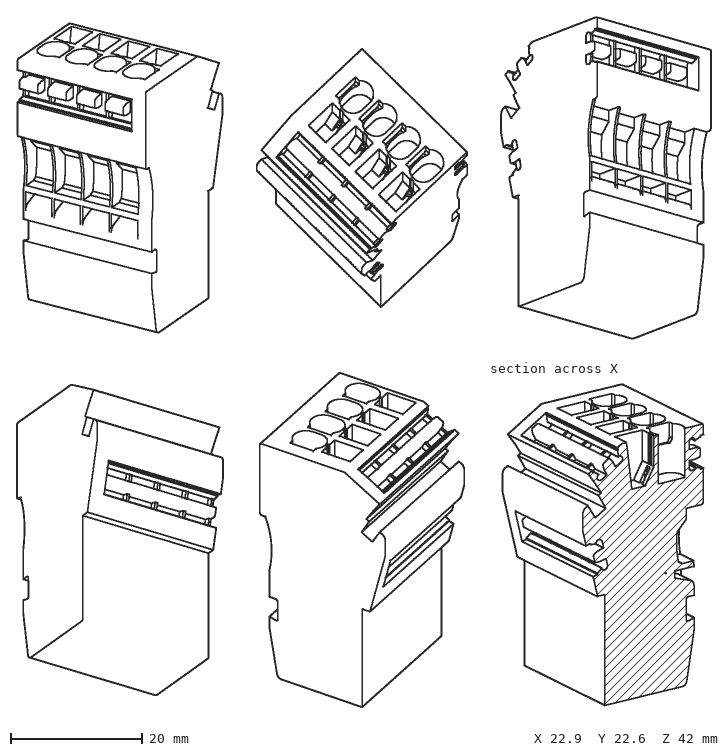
import cadquery as cq
import math

WIDTH = 22.9
HEIGHT = 42.0
DEPTH = 22.55
POLES = 4
PITCH = 5.1
ROW_WIDTH = POLES * PITCH
RIB = 0.42
END_RECESS = 0.05

FRONT_Y = 1.74
BLOCK_BOTTOM_Z = 28.85
BLOCK_INNER_Y = 1.0
HOLLOW_Y = 2.13
HOLLOW_Z = 23.05
HOLLOW_BOTTOM_Z = 19.35
NOTCH_TOP_Z = 14.4
NOTCH_BOTTOM_Z = 10.45
NOTCH_Y = 3.22
LIP_Z = 10.8
TAPER_TOP_Z = 8.74
FOOT_Y = 3.22
BACK_Y = 18.46
STEP_Y = 19.8
STEP_Z = 18.05
BACK_BEND_Z = 29.2
TOP_BACK_Y = 15.27
SLOPE_ANGLE = 30.0
SLOPE_END_Y = 21.56
SLOPE_END_Z = HEIGHT - (SLOPE_END_Y - TOP_BACK_Y) * math.tan(math.radians(SLOPE_ANGLE))
HOOK = [
    (20.2, 36.45), (19.15, 34.8), (19.65, 34.5), (18.3, 32.1),
    (20.2, 31.0), (SLOPE_END_Y, 33.25), (21.84, 33.09),
]
HOOK_TIP_MIDDLE = (22.36, 32.7)
HOOK_TIP_END_Z = 32.1
EDGE_RADIUS = 0.3
SLOPE_EDGE_RADIUS = 0.6
BLOCK_RADIUS = 0.5
NOTCH_RADIUS = 0.45
NOTCH_FLOOR_RADIUS = 0.2
FOOT_RADIUS = 0.95
BACK_FOOT_RADIUS = 0.15

MOUTH_HALF = 2.7
CUT_MARGIN = 1.0
RIM_DEPTH = 0.58
RIM_HALF = 2.5
SHOULDER_DEPTH = 1.6
SHOULDER_HALF = 2.1
FRONT_LOWER_SHOULDER = 2.3
UNDERCUT_DEPTH = 2.65
UNDERCUT_HALF = 2.6
TONGUE_BASE_HALF = 0.97
TONGUE_TIP_HALF = 0.72
TONGUE_TIP_RADIUS = 0.35
TONGUE_LENGTH = 3.25
GROOVE_RIB_START = 4.68
FRONT_GROOVE_Z = 37.45
SLOPE_GROOVE_CENTRE = 3.57
SLOPE_GROOVE_LIFT = -0.15
BACK_GROOVE_CENTRE = 5.25
BACK_GROOVE_SINK = 0.27

POCKET_FLOOR_Z = 20.1
POCKET_FLOOR_END_Y = 4.0
POCKET_WALL_BOTTOM = (4.67, 20.5)
POCKET_WALL_DEEPEST = (5.0, 23.75)
POCKET_OVERHANG_BOTTOM = (4.9, 25.35)
POCKET_OVERHANG_TOP_Z = 27.1
POCKET_UPPER_Y = 3.2
LOWER_POCKET_BOTTOM_Z = 16.0
LOWER_POCKET_TOP_Z = 19.1
SILL_TOP = (2.53, 17.05)
LOWER_POCKET_BACK_Y = 5.3
LOWER_POCKET_BACK_Z = 18.0

PORT_X = 2.75
PORT_Y = 6.0
PORT_LENGTH = 5.6
PORT_WIDTH = 4.16
PORT_DEPTH = 8.0
RECESS_HALF = 2.1
RECESS_FLOOR_HALF = 1.75
RECESS_WALL_DEPTH = 2.4
RECESS_DEPTH = 3.2
LEVER_X = 0.87
LEVER_WIDTH = 3.75
LEVER_FRONT_Y = 9.3
LEVER_BACK_Y = 14.4
LEVER_DEPTH = 7.8
LEVER_RIM_DEPTH = 0.9
LEVER_BACK_SLOPE_Y = 14.2
LEVER_FLOOR_BACK_Y = 13.35
LEVER_RAMP_START_DEPTH = 5.0
LEVER_RAMP_END_DEPTH = 7.3
LEVER_RAMP_END_Y = 10.65
KEY_X = 2.33
KEY_WIDTH = 0.73
KEY_FRONT_Y = 9.13
KEY_UPPER_STEP_Y = 9.5
KEY_LOWER_STEP_Y = 9.9
KEY_BACK_Y = 10.9
KEY_UPPER_STEP_DEPTH = 5.0
KEY_LOWER_STEP_DEPTH = 6.0


def prism(points, x_start, length):
    """Extrude a closed (y, z) polygon along X."""
    return cq.Workplane("YZ", origin=(x_start, 0, 0)).polyline(points).close().extrude(length)


def round_edge(body, y, z, radius):
    """Fillet the lengthwise edge at (y, z)."""
    edge = cq.selectors.NearestToPointSelector((WIDTH / 2, y, z))
    return body.edges("|X").edges(edge).fillet(radius)


def arc_middle(tangent_point, end_point):
    """Middle of the arc that leaves tangent_point along Z and reaches end_point."""
    rise = end_point[1] - tangent_point[1]
    run = end_point[0] - tangent_point[0]
    radius = (rise**2 + run**2) / (2 * abs(run))
    half_angle = math.asin(abs(rise) / radius) / 2
    y = tangent_point[0] + math.copysign(radius * (1 - math.cos(half_angle)), run)
    z = tangent_point[1] + math.copysign(radius * math.sin(half_angle), rise)
    return (y, z)


def make_housing():
    hollow = (HOLLOW_Y, HOLLOW_Z)
    hollow_bottom = (FRONT_Y, HOLLOW_BOTTOM_Z)
    hollow_top = (BLOCK_INNER_Y, BLOCK_BOTTOM_Z)
    outline = cq.Workplane("YZ").moveTo(0, BLOCK_BOTTOM_Z).lineTo(0, HEIGHT)
    outline = outline.lineTo(TOP_BACK_Y, HEIGHT).lineTo(SLOPE_END_Y, SLOPE_END_Z)
    for point in HOOK:
        outline = outline.lineTo(*point)
    outline = (
        outline.threePointArc(HOOK_TIP_MIDDLE, (DEPTH, HOOK_TIP_END_Z))
        .lineTo(DEPTH, BACK_BEND_Z)
        .lineTo(STEP_Y, STEP_Z)
        .lineTo(BACK_Y, STEP_Z)
        .lineTo(BACK_Y, 0)
        .lineTo(FOOT_Y, 0)
        .lineTo(FRONT_Y, TAPER_TOP_Z)
        .lineTo(FRONT_Y, LIP_Z)
        .lineTo(NOTCH_Y, NOTCH_BOTTOM_Z)
        .lineTo(NOTCH_Y, NOTCH_TOP_Z)
        .lineTo(FRONT_Y, NOTCH_TOP_Z)
        .lineTo(*hollow_bottom)
        .threePointArc(arc_middle(hollow, hollow_bottom), hollow)
        .threePointArc(arc_middle(hollow, hollow_top), hollow_top)
        .close()
    )
    body = outline.extrude(WIDTH)
    body = round_edge(body, 0, HEIGHT, EDGE_RADIUS)
    body = round_edge(body, TOP_BACK_Y, HEIGHT, SLOPE_EDGE_RADIUS)
    body = round_edge(body, 0, BLOCK_BOTTOM_Z, BLOCK_RADIUS)
    body = round_edge(body, NOTCH_Y, NOTCH_TOP_Z, NOTCH_RADIUS)
    body = round_edge(body, NOTCH_Y, NOTCH_BOTTOM_Z, NOTCH_FLOOR_RADIUS)
    body = round_edge(body, FOOT_Y, 0, FOOT_RADIUS)
    return round_edge(body, BACK_Y, 0, BACK_FOOT_RADIUS)


def make_undercut(x_start, length):
    """Round-ended slot behind the groove's shoulders."""
    slot_width = UNDERCUT_DEPTH - SHOULDER_DEPTH
    return (
        cq.Workplane("YZ", origin=(x_start, SHOULDER_DEPTH + slot_width / 2, 0))
        .slot2D(2 * UNDERCUT_HALF, slot_width, 90)
        .extrude(length)
    )


def make_groove(tongue_length, lower_shoulder):
    """Groove cutter for a face at Y = 0, centred on Z = 0 and reaching into +Y."""
    mouth = prism(
        [
            (-CUT_MARGIN, MOUTH_HALF), (RIM_DEPTH, MOUTH_HALF), (RIM_DEPTH, RIM_HALF),
            (SHOULDER_DEPTH, SHOULDER_HALF), (SHOULDER_DEPTH, -lower_shoulder),
            (RIM_DEPTH, -RIM_HALF), (RIM_DEPTH, -MOUTH_HALF), (-CUT_MARGIN, -MOUTH_HALF),
        ],
        0, ROW_WIDTH,
    )
    tongue_profile = [
        (UNDERCUT_DEPTH, TONGUE_BASE_HALF), (SHOULDER_DEPTH, TONGUE_BASE_HALF),
        (RIM_DEPTH, TONGUE_TIP_HALF), (RIM_DEPTH, -TONGUE_TIP_HALF),
        (SHOULDER_DEPTH, -TONGUE_BASE_HALF), (UNDERCUT_DEPTH, -TONGUE_BASE_HALF),
    ]
    tongue = prism(tongue_profile, 0, tongue_length).faces("<Y").edges("|X").fillet(TONGUE_TIP_RADIUS)
    groove = mouth.union(make_undercut(0, END_RECESS))
    for pole in range(POLES):
        start = pole * PITCH + (RIB if pole == 0 else 0)
        end = ROW_WIDTH if pole == POLES - 1 else pole * PITCH + GROOVE_RIB_START
        groove = groove.union(make_undercut(start, end - start))
    for pole in range(POLES):
        groove = groove.cut(tongue.translate((pole * PITCH, 0, 0)))
    return groove


def cut_marker_grooves(body):
    front = make_groove(TONGUE_LENGTH, FRONT_LOWER_SHOULDER).translate((0, 0, FRONT_GROOVE_Z))
    body = body.cut(front)

    continuous = make_groove(PITCH, SHOULDER_HALF)
    slope = math.radians(SLOPE_ANGLE)
    slope_y = SLOPE_END_Y - SLOPE_GROOVE_CENTRE * math.cos(slope)
    slope_z = SLOPE_END_Z + SLOPE_GROOVE_CENTRE * math.sin(slope)
    on_slope = (
        continuous.translate((0, SLOPE_GROOVE_LIFT, 0))
        .rotate((0, 0, 0), (1, 0, 0), -90 - SLOPE_ANGLE)
        .translate((0, slope_y, slope_z))
    )
    body = body.cut(on_slope)

    lean = math.atan2(DEPTH - STEP_Y, BACK_BEND_Z - STEP_Z)
    back_y = DEPTH - BACK_GROOVE_CENTRE * math.sin(lean)
    back_z = BACK_BEND_Z - BACK_GROOVE_CENTRE * math.cos(lean)
    on_back = (
        continuous.translate((0, BACK_GROOVE_SINK, 0))
        .rotate((0, 0, 0), (1, 0, 0), -180 - math.degrees(lean))
        .translate((0, back_y, back_z))
    )
    return body.cut(on_back)


def make_test_pocket():
    """Tall front pocket with a curved back wall and an overhang above it."""
    return (
        cq.Workplane("YZ", origin=(RIB, 0, 0))
        .moveTo(0, POCKET_FLOOR_Z)
        .lineTo(POCKET_FLOOR_END_Y, POCKET_FLOOR_Z)
        .lineTo(*POCKET_WALL_BOTTOM)
        .threePointArc(arc_middle(POCKET_WALL_DEEPEST, POCKET_WALL_BOTTOM), POCKET_WALL_DEEPEST)
        .lineTo(*POCKET_OVERHANG_BOTTOM)
        .lineTo(POCKET_UPPER_Y, POCKET_OVERHANG_TOP_Z)
        .lineTo(POCKET_UPPER_Y, BLOCK_BOTTOM_Z)
        .lineTo(0, BLOCK_BOTTOM_Z)
        .close()
        .extrude(PITCH - RIB)
    )


def make_lower_pocket():
    """Low front pocket with a rounded sill."""
    sill_front = (FRONT_Y, LOWER_POCKET_BOTTOM_Z)
    return (
        cq.Workplane("YZ", origin=(RIB, 0, 0))
        .moveTo(*sill_front)
        .threePointArc(arc_middle(sill_front, SILL_TOP), SILL_TOP)
        .lineTo(LOWER_POCKET_BACK_Y, LOWER_POCKET_BACK_Z)
        .lineTo(LOWER_POCKET_BACK_Y, LOWER_POCKET_TOP_Z)
        .lineTo(FRONT_Y, LOWER_POCKET_TOP_Z)
        .close()
        .extrude(PITCH - RIB)
    )


def make_wire_port():
    """Round-ended hole with a shallow side recess."""
    port = (
        cq.Workplane("XY", origin=(PORT_X, PORT_Y, HEIGHT))
        .slot2D(PORT_LENGTH, PORT_WIDTH, 90)
        .extrude(-PORT_DEPTH)
    )
    recess = prism(
        [
            (PORT_Y - RECESS_HALF, HEIGHT), (PORT_Y + RECESS_HALF, HEIGHT),
            (PORT_Y + RECESS_HALF, HEIGHT - RECESS_WALL_DEPTH),
            (PORT_Y + RECESS_FLOOR_HALF, HEIGHT - RECESS_DEPTH),
            (PORT_Y - RECESS_FLOOR_HALF, HEIGHT - RECESS_DEPTH),
            (PORT_Y - RECESS_HALF, HEIGHT - RECESS_WALL_DEPTH),
        ],
        PORT_X, PITCH - PORT_X,
    )
    return port.union(recess)


def make_lever_opening():
    """Rectangular funnel with a narrow stepped key slot in its front wall."""
    bottom = HEIGHT - LEVER_DEPTH
    funnel = prism(
        [
            (LEVER_FRONT_Y, HEIGHT), (LEVER_BACK_Y, HEIGHT), (LEVER_BACK_SLOPE_Y, HEIGHT - LEVER_RIM_DEPTH),
            (LEVER_FLOOR_BACK_Y, bottom), (KEY_BACK_Y, bottom),
            (LEVER_RAMP_END_Y, HEIGHT - LEVER_RAMP_END_DEPTH),
            (LEVER_FRONT_Y, HEIGHT - LEVER_RAMP_START_DEPTH),
        ],
        LEVER_X, LEVER_WIDTH,
    )
    key = prism(
        [
            (KEY_FRONT_Y, HEIGHT), (KEY_BACK_Y, HEIGHT), (KEY_BACK_Y, bottom),
            (KEY_LOWER_STEP_Y, bottom),
            (KEY_LOWER_STEP_Y, HEIGHT - KEY_LOWER_STEP_DEPTH),
            (KEY_UPPER_STEP_Y, HEIGHT - KEY_LOWER_STEP_DEPTH),
            (KEY_UPPER_STEP_Y, HEIGHT - KEY_UPPER_STEP_DEPTH),
            (KEY_FRONT_Y, HEIGHT - KEY_UPPER_STEP_DEPTH),
        ],
        KEY_X, KEY_WIDTH,
    )
    return funnel.union(key)


def cut_poles(body):
    cutters = [make_test_pocket(), make_lower_pocket(), make_wire_port(), make_lever_opening()]
    for pole in range(POLES):
        for cutter in cutters:
            body = body.cut(cutter.translate((pole * PITCH, 0, 0)))
    return body


result = cut_poles(cut_marker_grooves(make_housing()))